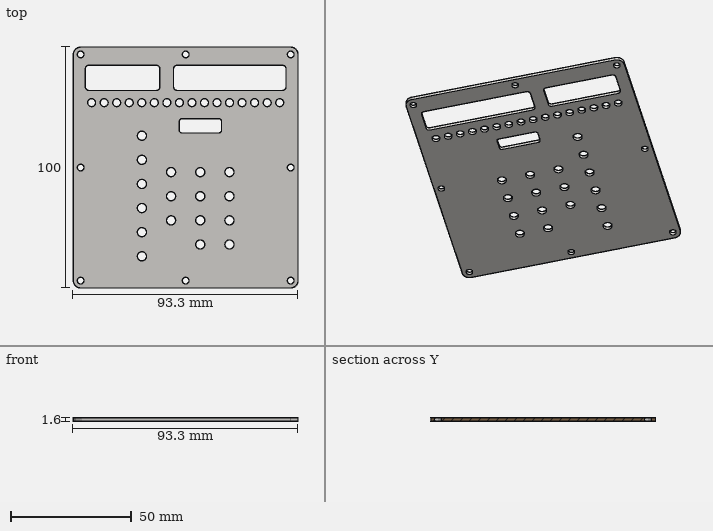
import cadquery as cq

WIDTH = 93.3
LENGTH = 100.0
THICKNESS = 1.6
CORNER_RADIUS = 3.2

MOUNT_DIAMETER = 2.7
MOUNT_INSET = 3.1

WINDOW_HEIGHT = 10.3
WINDOW_Y = 37.2
WINDOW_SIDE_MARGIN = 5.1
LEFT_WINDOW_WIDTH = 30.8
RIGHT_WINDOW_WIDTH = 46.5
WINDOW_RADIUS = 1.3

INDICATOR_DIAMETER = 3.2
INDICATOR_COUNT = 16
INDICATOR_PITCH = 5.2
INDICATOR_Y = 26.9

SLOT_WIDTH = 17.4
SLOT_HEIGHT = 5.8
SLOT_X = 6.1
SLOT_Y = 17.3
SLOT_RADIUS = 1.0

BUTTON_DIAMETER = 3.7
BUTTON_PITCH_X = 12.1
BUTTON_PITCH_Y = 10.0
SIDE_COLUMN_TOP = 13.2
SIDE_COLUMN_COUNT = 6
KEYPAD_TOP = -1.9
KEYPAD_COUNTS = (3, 4, 4)


def cut_holes(plate, points, diameter):
    """Drill through holes at points measured from the plate centre."""
    return plate.faces(">Z").workplane(origin=(0, 0, 0)).pushPoints(points).hole(diameter)


def cut_window(plate, x, y, width, height, radius):
    """Cut a through opening with rounded corners, centred on x, y."""
    cutter = (
        cq.Workplane("XY")
        .center(x, y)
        .rect(width, height)
        .extrude(THICKNESS)
        .edges("|Z")
        .fillet(radius)
    )
    return plate.cut(cutter)


def column_points(x, top, count):
    """Return the button centres of one column, from the top down."""
    return [(x, top - row * BUTTON_PITCH_Y) for row in range(count)]


plate = cq.Workplane("XY").rect(WIDTH, LENGTH).extrude(THICKNESS)
plate = plate.edges("|Z").fillet(CORNER_RADIUS)

mount_x = WIDTH / 2 - MOUNT_INSET
mount_y = LENGTH / 2 - MOUNT_INSET
mount_points = [
    (i * mount_x, j * mount_y)
    for i in (-1, 0, 1)
    for j in (-1, 0, 1)
    if (i, j) != (0, 0)
]
plate = cut_holes(plate, mount_points, MOUNT_DIAMETER)

window_edge = WIDTH / 2 - WINDOW_SIDE_MARGIN
left_window_x = -window_edge + LEFT_WINDOW_WIDTH / 2
right_window_x = window_edge - RIGHT_WINDOW_WIDTH / 2
plate = cut_window(plate, left_window_x, WINDOW_Y, LEFT_WINDOW_WIDTH, WINDOW_HEIGHT, WINDOW_RADIUS)
plate = cut_window(plate, right_window_x, WINDOW_Y, RIGHT_WINDOW_WIDTH, WINDOW_HEIGHT, WINDOW_RADIUS)

plate = cut_window(plate, SLOT_X, SLOT_Y, SLOT_WIDTH, SLOT_HEIGHT, SLOT_RADIUS)

indicator_points = [
    ((i - (INDICATOR_COUNT - 1) / 2) * INDICATOR_PITCH, INDICATOR_Y)
    for i in range(INDICATOR_COUNT)
]
plate = cut_holes(plate, indicator_points, INDICATOR_DIAMETER)

first_column_x = -len(KEYPAD_COUNTS) / 2 * BUTTON_PITCH_X
button_points = column_points(first_column_x, SIDE_COLUMN_TOP, SIDE_COLUMN_COUNT)
for column, count in enumerate(KEYPAD_COUNTS, start=1):
    column_x = first_column_x + column * BUTTON_PITCH_X
    button_points += column_points(column_x, KEYPAD_TOP, count)
plate = cut_holes(plate, button_points, BUTTON_DIAMETER)

result = plate